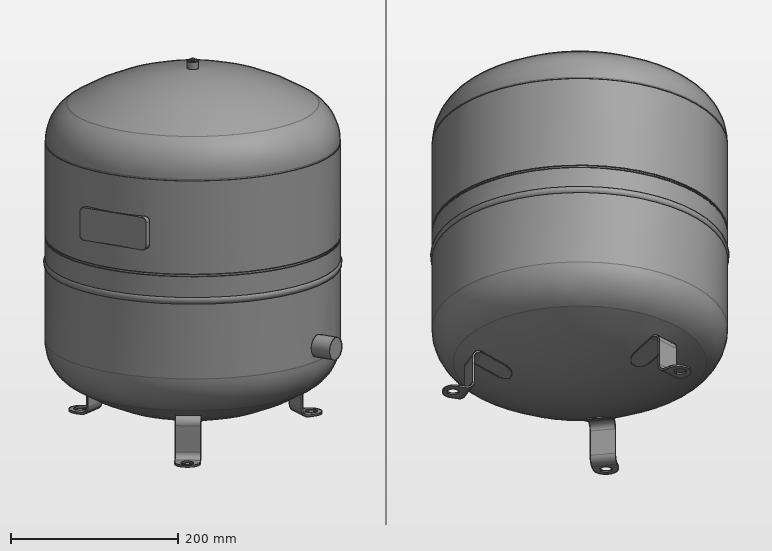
import cadquery as cq
import math

total_height = 459.0
overall_length = 380.5
shell_diameter = 353.5
bead_diameter = 356.5
shell_radius = shell_diameter / 2
bead_radius = bead_diameter / 2

bottom_z = 20.5
top_z = 447.5
crown_radius = 282.7
knuckle_radius = 54.5

lap_depth = 0.5
lap_height = 2.0
seam_z = 238.5
seam_width = 2.8
seam_depth = 1.5
bead_z = 207.5
bead_width = 8.3

valve_diameter = 13.8
valve_chamfer = 1.0
valve_tip_diameter = 4.5
valve_tip_height = 2.0

pipe_diameter = 27.5
pipe_z = 129.5
pipe_end_x = overall_length - bead_radius

plate_width = 93.5
plate_height = 40.5
plate_corner_radius = 6.0
plate_z = 289.5
plate_face_y = -bead_radius
plate_embed = 18.5

leg_angles = (60, 180, 300)
leg_width = 30.8
leg_thickness = 2.5
leg_outer_bend = 10.0
leg_inner_tip = 86.5
leg_outer_tip = 172.0
leg_web_outer_x = 140.5
leg_apex_z = 53.0
leg_flap_slope = 23.5
leg_hole_diameter = 14.5
leg_hole_inset = 12.5


def dished_end(radius):
    """Return knuckle middle, knuckle-crown joint and depth, as offsets from the tangent plane."""
    center_x = radius - knuckle_radius
    crown_drop = math.sqrt((crown_radius - knuckle_radius) ** 2 - center_x**2)
    joint_angle = math.acos(center_x / (crown_radius - knuckle_radius))

    def on_knuckle(angle):
        return (
            center_x + knuckle_radius * math.cos(angle),
            knuckle_radius * math.sin(angle),
        )

    return on_knuckle(joint_angle / 2), on_knuckle(joint_angle), crown_radius - crown_drop


def crown_middle(joint_x):
    """Return the radius and the sag below the pole halfway along the crown arc."""
    half_angle = math.asin(joint_x / crown_radius) / 2
    return crown_radius * math.sin(half_angle), crown_radius * (1 - math.cos(half_angle))


def make_tank():
    """Revolve the half outline of the closed tank about Z."""
    lower_mid, lower_joint, lower_depth = dished_end(shell_radius)
    lower_tangent_z = bottom_z + lower_depth
    lower_crown_x, lower_sag = crown_middle(lower_joint[0])

    lid_radius = shell_radius - lap_depth
    upper_mid, upper_joint, upper_depth = dished_end(lid_radius)
    upper_tangent_z = top_z - upper_depth
    upper_crown_x, upper_sag = crown_middle(upper_joint[0])

    seam_bottom_z = seam_z - seam_width / 2
    seam_top_z = seam_z + seam_width / 2
    lap_z = upper_tangent_z - lap_height

    outline = (
        cq.Workplane("XZ")
        .moveTo(0, bottom_z)
        .threePointArc(
            (lower_crown_x, bottom_z + lower_sag),
            (lower_joint[0], lower_tangent_z - lower_joint[1]),
        )
        .threePointArc(
            (lower_mid[0], lower_tangent_z - lower_mid[1]),
            (shell_radius, lower_tangent_z),
        )
        .lineTo(shell_radius, bead_z - bead_width / 2)
        .threePointArc((bead_radius, bead_z), (shell_radius, bead_z + bead_width / 2))
        .lineTo(shell_radius, seam_bottom_z)
        .lineTo(shell_radius - seam_depth, seam_bottom_z)
        .lineTo(shell_radius - seam_depth, seam_top_z)
        .lineTo(shell_radius, seam_top_z)
        .lineTo(shell_radius, lap_z)
        .lineTo(lid_radius, lap_z)
        .lineTo(lid_radius, upper_tangent_z)
        .threePointArc(
            (upper_mid[0], upper_tangent_z + upper_mid[1]),
            (upper_joint[0], upper_tangent_z + upper_joint[1]),
        )
        .threePointArc((upper_crown_x, top_z - upper_sag), (0, top_z))
        .close()
    )
    return outline.revolve(360, (0, 0, 0), (0, 1, 0))


def make_valve():
    """Chamfered cylinder with a small tip, rooted inside the top dome."""
    root_z = top_z - valve_diameter / 2
    cap_z = total_height - valve_tip_height
    body = (
        cq.Workplane("XY", origin=(0, 0, root_z))
        .circle(valve_diameter / 2)
        .extrude(cap_z - root_z)
        .faces(">Z")
        .chamfer(valve_chamfer)
    )
    return body.faces(">Z").workplane().circle(valve_tip_diameter / 2).extrude(valve_tip_height)


def make_pipe():
    """Plain round stub from the tank axis to the +X end."""
    return cq.Workplane("YZ", origin=(0, 0, pipe_z)).circle(pipe_diameter / 2).extrude(pipe_end_x)


def make_plate():
    """Flat plate with rounded corners, its back sunk into the shell."""
    return (
        cq.Workplane("XZ", origin=(0, plate_face_y, plate_z))
        .rect(plate_width, plate_height)
        .extrude(-plate_embed)
        .edges("|Y")
        .fillet(plate_corner_radius)
    )


def make_leg():
    """Bent strip along +X: foot, upright web and a flap lying against the dome."""
    half_thickness = leg_thickness / 2
    bend = leg_outer_bend - half_thickness
    web_x = leg_web_outer_x - half_thickness
    web_top_z = leg_apex_z - leg_outer_bend
    slope = math.radians(leg_flap_slope)

    upper_center_x = web_x - bend
    flap_start = (upper_center_x - bend * math.sin(slope), web_top_z + bend * math.cos(slope))
    half_turn = (math.pi / 2 + slope) / 2
    upper_mid = (
        upper_center_x + bend * math.cos(half_turn),
        web_top_z + bend * math.sin(half_turn),
    )
    flap_end_z = flap_start[1] - (flap_start[0] - leg_inner_tip) * math.tan(slope)

    lower_center = (web_x + bend, half_thickness + bend)
    lower_mid = (
        lower_center[0] - bend * math.cos(math.pi / 4),
        lower_center[1] - bend * math.sin(math.pi / 4),
    )
    center_line = (
        cq.Workplane("XZ")
        .moveTo(leg_outer_tip, half_thickness)
        .lineTo(lower_center[0], half_thickness)
        .threePointArc(lower_mid, (web_x, lower_center[1]))
        .lineTo(web_x, web_top_z)
        .threePointArc(upper_mid, flap_start)
        .lineTo(leg_inner_tip, flap_end_z)
    )
    strip = (
        cq.Workplane("YZ", origin=(leg_outer_tip, 0, half_thickness))
        .rect(leg_width, leg_thickness)
        .sweep(center_line)
    )

    plan_length = leg_outer_tip - leg_inner_tip
    plan_outline = (
        cq.Workplane("XY")
        .center((leg_outer_tip + leg_inner_tip) / 2, 0)
        .slot2D(plan_length, leg_width)
        .extrude(leg_apex_z)
    )
    foot_hole = (
        cq.Workplane("XY")
        .center(leg_outer_tip - leg_hole_inset, 0)
        .circle(leg_hole_diameter / 2)
        .extrude(leg_thickness)
    )
    return strip.intersect(plan_outline).cut(foot_hole)


result = make_tank().union(make_valve()).union(make_pipe()).union(make_plate())
leg = make_leg()
for leg_angle in leg_angles:
    result = result.union(leg.rotate((0, 0, 0), (0, 0, 1), leg_angle))